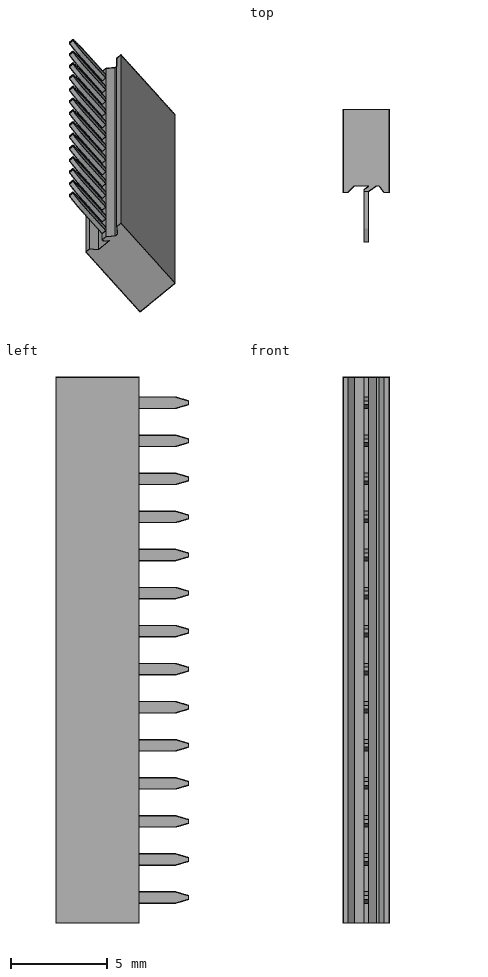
import cadquery as cq

housing_width = 2.4
housing_length = 28.27
overall_depth = 6.87
pin_protrusion = 2.56
housing_depth = overall_depth - pin_protrusion

left_foot_width = 0.25
right_foot_width = 0.29
channel_depth = 0.33
left_slope_width = 0.33
right_slope_width = 0.24
ridge_drop = 0.05
ridge_flank_width = 0.4
undercut_start = 0.15
undercut_width = 0.25

pin_count = 14
pin_pitch = 1.97
pin_thickness = 0.25
pin_height = 0.6
tip_height = 0.2
tip_length = 0.68

half_width = housing_width / 2
half_thickness = pin_thickness / 2


def make_housing():
    """Extrude the channelled cross-section along the housing length, feet on Y = 0."""
    left_foot_edge = -half_width + left_foot_width
    right_foot_edge = half_width - right_foot_width
    outline = [
        (-half_width, housing_depth),
        (-half_width, 0),
        (left_foot_edge, 0),
        (left_foot_edge + left_slope_width, channel_depth),
        (-half_thickness + undercut_width, channel_depth),
        (-half_thickness, undercut_start),
        (-half_thickness, ridge_drop),
        (half_thickness, ridge_drop),
        (half_thickness + ridge_flank_width, channel_depth),
        (right_foot_edge - right_slope_width, channel_depth),
        (right_foot_edge, 0),
        (half_width, 0),
        (half_width, housing_depth),
    ]
    section = cq.Workplane("XY").polyline(outline).close()
    return section.extrude(housing_length / 2, both=True)


def make_pin(center_z):
    """Make one blade pin, rooted in the ridge just below its undercut and tapering towards -Y."""
    root_y = undercut_start
    tip_y = -pin_protrusion
    taper_y = tip_y + tip_length
    outline = [
        (root_y, center_z - pin_height / 2),
        (taper_y, center_z - pin_height / 2),
        (tip_y, center_z - tip_height / 2),
        (tip_y, center_z + tip_height / 2),
        (taper_y, center_z + pin_height / 2),
        (root_y, center_z + pin_height / 2),
    ]
    side = cq.Workplane("YZ").polyline(outline).close()
    return side.extrude(half_thickness, both=True)


result = make_housing()
first_pin_z = -pin_pitch * (pin_count - 1) / 2
for index in range(pin_count):
    result = result.union(make_pin(first_pin_z + index * pin_pitch))